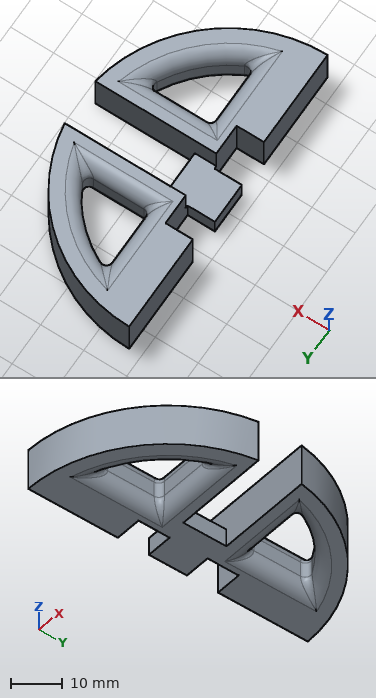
import cadquery as cq
import math

outer_radius = 34.9
height = 10.1
slot_half_width = 5.4
notch_depth = 6.35
notch_outer_y = 12.5
tab_half_width = 4.75
bridge_end_x = 11.4
bridge_height = 4.4
window_start = 7.8
window_rim_radius = 31.7
edge_round = 3.2
corner_round = 1.4
diagonal = math.sqrt(0.5)


def box(x_start, x_end, y_start, y_end, tall):
    """Block on the base plane between the given X and Y limits."""
    return cq.Workplane("XY").box(
        x_end - x_start, y_end - y_start, tall, centered=False
    ).translate((x_start, y_start, 0))


def quadrant():
    """Block on the +Y side, with its rounded window and corner notch."""
    arc_end_x = math.sqrt(outer_radius**2 - slot_half_width**2)
    arc_mid = outer_radius * diagonal
    block = (
        cq.Workplane("XY")
        .moveTo(0, slot_half_width)
        .lineTo(arc_end_x, slot_half_width)
        .threePointArc((arc_mid, arc_mid), (0, outer_radius))
        .close()
        .extrude(height)
    )

    throat_start = window_start + edge_round
    throat_radius = window_rim_radius - edge_round
    throat_end = math.sqrt(throat_radius**2 - throat_start**2)
    throat_mid = throat_radius * diagonal
    window = (
        cq.Workplane("XY")
        .moveTo(throat_start, throat_start)
        .lineTo(throat_end, throat_start)
        .threePointArc((throat_mid, throat_mid), (throat_start, throat_end))
        .close()
        .extrude(height)
    )
    plate = box(0, outer_radius, 0, outer_radius, height).cut(window)

    lower_corner = (window_start, window_start, -edge_round)
    upper_corner = (outer_radius - edge_round, outer_radius - edge_round, height + edge_round)
    near_window = cq.selectors.BoxSelector(lower_corner, upper_corner, boundingbox=True)
    plate = plate.faces("|Z").edges(near_window).fillet(edge_round)
    plate = plate.edges("|Z").edges(near_window).fillet(corner_round)

    notch = box(0, notch_depth, slot_half_width, notch_outer_y, height)
    return block.intersect(plate).cut(notch)


upper_block = quadrant()
lower_block = upper_block.mirror("XZ")
bridge = box(notch_depth, bridge_end_x, -slot_half_width, slot_half_width, bridge_height)
tab = box(0, notch_depth, -tab_half_width, tab_half_width, bridge_height)

result = upper_block.union(lower_block).union(bridge).union(tab)